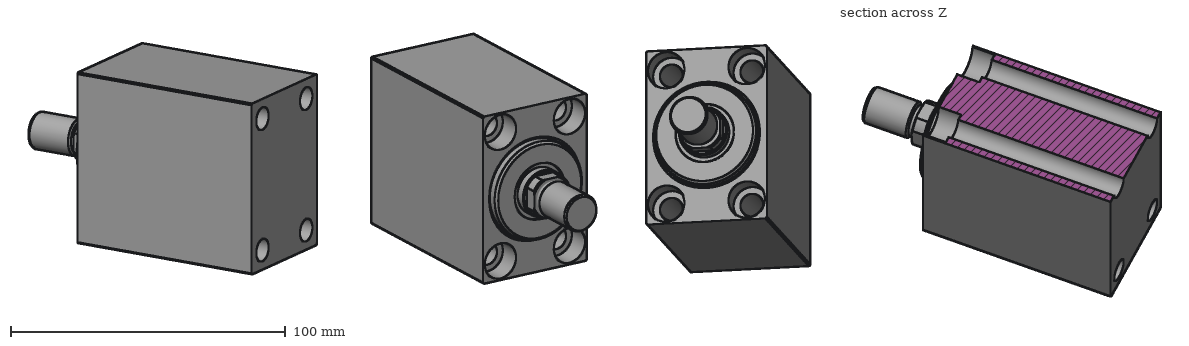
import cadquery as cq

overall_length = 106.0
undercut_start_x = 18.0
collar_start_x = 20.0
shoulder_x = 25.0
gland_face_x = 28.0
block_face_x = 31.2

block_width = 45.0
block_height = 65.0
block_length = overall_length - block_face_x
block_edge_chamfer = 0.5

hole_spacing_y = 30.0
hole_spacing_z = 50.0
hole_diameter = 8.5
counterbore_diameter = 13.6
counterbore_depth = 8.8

gland_diameter = 38.0
gland_chamfer = 1.0
gland_seat_depth = 12.7
seat_countersink = 1.0
seat_floor_x = block_face_x + gland_seat_depth

wiper_diameter = 21.7
wiper_recess = 1.0
wiper_length = 4.2
wiper_face_x = gland_face_x + wiper_recess
wiper_end_x = wiper_face_x + wiper_length

rod_diameter = 18.0
shoulder_chamfer_length = 0.3
shoulder_chamfer_height = 0.5
thread_diameter = 14.0
thread_chamfer_length = 0.8
thread_chamfer_height = 0.5
undercut_diameter = 12.0
undercut_taper_length = 0.6
undercut_fillet = 0.4
collar_diameter = 17.0
collar_across_flats = 15.0


def cylinder(diameter, start_x, end_x):
    """Solid cylinder on the X axis between two stations."""
    return cq.Workplane("YZ", origin=(start_x, 0, 0)).circle(diameter / 2).extrude(end_x - start_x)


def chamfered_cylinder(radius, start_x, end_x):
    """Solid cylinder on the X axis with a shoulder chamfer at its start."""
    return (
        cq.Workplane("XY")
        .moveTo(start_x, 0)
        .lineTo(start_x, radius - shoulder_chamfer_height)
        .lineTo(start_x + shoulder_chamfer_length, radius)
        .lineTo(end_x, radius)
        .lineTo(end_x, 0)
        .close()
        .revolve(360, (0, 0, 0), (1, 0, 0))
    )


def make_block():
    block = (
        cq.Workplane("YZ", origin=(block_face_x, 0, 0))
        .rect(block_width, block_height)
        .extrude(block_length)
        .edges("|X")
        .chamfer(block_edge_chamfer)
    )

    hole_centres = (
        cq.Workplane("YZ", origin=(block_face_x, 0, 0))
        .rect(hole_spacing_y, hole_spacing_z, forConstruction=True)
        .vertices()
    )
    through_holes = hole_centres.circle(hole_diameter / 2).extrude(block_length)
    counterbores = hole_centres.circle(counterbore_diameter / 2).extrude(counterbore_depth)
    block = block.cut(through_holes).cut(counterbores)

    seat_radius = gland_diameter / 2
    seat = (
        cq.Workplane("XY")
        .moveTo(block_face_x, 0)
        .lineTo(block_face_x, seat_radius + seat_countersink)
        .lineTo(block_face_x + seat_countersink, seat_radius)
        .lineTo(seat_floor_x, seat_radius)
        .lineTo(seat_floor_x, 0)
        .close()
        .revolve(360, (0, 0, 0), (1, 0, 0))
    )
    return block.cut(seat)


def make_gland():
    gland = cylinder(gland_diameter, gland_face_x, seat_floor_x).faces("<X").chamfer(gland_chamfer)
    rod_bore = cylinder(rod_diameter, gland_face_x, seat_floor_x)
    wiper_pocket = cylinder(wiper_diameter, gland_face_x, wiper_end_x)
    return gland.cut(rod_bore).cut(wiper_pocket)


def make_wiper():
    ring = cylinder(wiper_diameter, wiper_face_x, wiper_end_x)
    return ring.cut(cylinder(rod_diameter, wiper_face_x, wiper_end_x))


def make_rod():
    thread_radius = thread_diameter / 2
    undercut_radius = undercut_diameter / 2
    collar_radius = collar_diameter / 2
    rod_radius = rod_diameter / 2

    rod_end = (
        cq.Workplane("XY")
        .moveTo(0, 0)
        .lineTo(0, thread_radius - thread_chamfer_height)
        .lineTo(thread_chamfer_length, thread_radius)
        .lineTo(undercut_start_x - undercut_taper_length, thread_radius)
        .lineTo(undercut_start_x, undercut_radius)
        .lineTo(collar_start_x - undercut_fillet, undercut_radius)
        .radiusArc((collar_start_x, undercut_radius + undercut_fillet), -undercut_fillet)
        .lineTo(collar_start_x, 0)
        .close()
        .revolve(360, (0, 0, 0), (1, 0, 0))
    )

    collar = chamfered_cylinder(collar_radius, collar_start_x, shoulder_x)
    square = (
        cq.Workplane("YZ", origin=(collar_start_x, 0, 0))
        .rect(collar_across_flats, collar_across_flats)
        .extrude(shoulder_x - collar_start_x)
    )
    collar = collar.intersect(square)

    shank = chamfered_cylinder(rod_radius, shoulder_x, seat_floor_x)
    return shank.union(collar).union(rod_end)


block = make_block()
gland = make_gland()
wiper = make_wiper()
rod = make_rod()

result = cq.Compound.makeCompound([block.val(), gland.val(), wiper.val(), rod.val()])